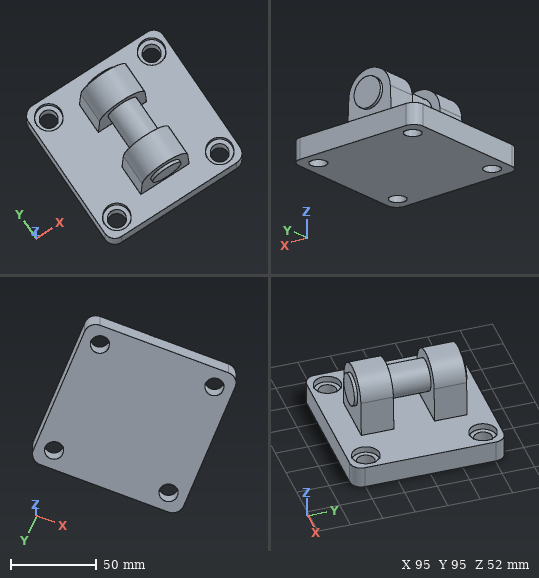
import cadquery as cq
import math

plate_side = 95.0
plate_thickness = 14.0
corner_radius = 7.0

hole_spacing = 72.2
hole_diameter = 11.0
counterbore_diameter = 16.6
counterbore_depth = 4.0

overall_height = 52.0
lug_radius = 16.0
lug_base_width = 33.8
lug_thickness = 20.0
lug_gap = 25.1
pin_diameter = 20.0
pin_length = 69.3
axis_height = overall_height - lug_radius


def make_plate():
    plate = (
        cq.Workplane("XY")
        .rect(plate_side, plate_side)
        .extrude(plate_thickness)
        .edges("|Z")
        .fillet(corner_radius)
    )
    return (
        plate.faces(">Z")
        .workplane()
        .rect(hole_spacing, hole_spacing, forConstruction=True)
        .vertices()
        .cboreHole(hole_diameter, counterbore_diameter, counterbore_depth)
    )


def make_lug(y_center):
    """Round-topped lug whose slanted flanks run tangent into the top arc."""
    half_base = lug_base_width / 2
    rise = axis_height - plate_thickness
    foot_distance = math.hypot(half_base, rise)
    foot_angle = math.atan2(-rise, half_base)
    tangent_angle = foot_angle + math.acos(lug_radius / foot_distance)
    tangent_x = lug_radius * math.cos(tangent_angle)
    tangent_z = axis_height + lug_radius * math.sin(tangent_angle)
    return (
        cq.Workplane("XZ", origin=(0, y_center, 0))
        .moveTo(-half_base, plate_thickness)
        .lineTo(half_base, plate_thickness)
        .lineTo(tangent_x, tangent_z)
        .threePointArc((0, overall_height), (-tangent_x, tangent_z))
        .close()
        .extrude(lug_thickness / 2, both=True)
    )


def make_pin():
    return (
        cq.Workplane("XZ")
        .center(0, axis_height)
        .circle(pin_diameter / 2)
        .extrude(pin_length / 2, both=True)
    )


lug_offset = (lug_gap + lug_thickness) / 2

result = make_plate()
for side in (-1, 1):
    result = result.union(make_lug(side * lug_offset))
result = result.union(make_pin())